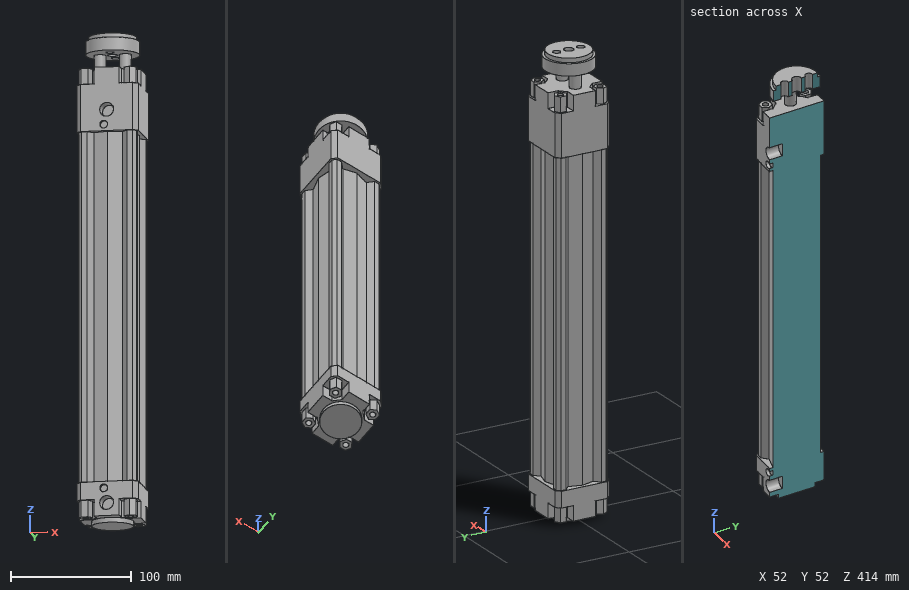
import cadquery as cq
import math


spigot_height = 4.0
cap_height = 29.0
tube_length = 297.0
head_height = 54.0
rod_exposed = 15.0
disc_thickness = 15.0
disc_lip_height = 4.0

cap_bottom = spigot_height
cap_top = cap_bottom + cap_height
head_bottom = cap_top + tube_length
head_top = head_bottom + head_height
disc_bottom = head_top + rod_exposed

block_width = 52.0
block_chamfer = 4.1
spigot_diameter = 35.0

block_corners = 4
recess_depth = 14.0
recess_start = 10.6
recess_wall_end = 16.5
nut_offset = 19.0
nut_sides = 6
nut_across_flats = 10.0
nut_thread_diameter = 5.0
nut_thread_depth = 10.0
drill_point_angle = 118.0

tube_faces = 4
tube_half_width = 24.5
tube_chamfer = 3.0
groove_outer = 17.0
groove_width = 5.0
ridge_height = 22.7

port_diameter = 11.6
port_depth = 12.0
port_from_tube = 18.0
screw_diameter = 6.5
screw_depth = 3.0
screw_from_tube = 5.5
screw_x = -2.5

rod_diameter = 10.0
rod_spacing = 21.5
disc_diameter = 45.0
disc_lip_diameter = 40.0
disc_centre_hole = 8.38
disc_side_hole = 6.65
disc_side_hole_spacing = 23.0


def end_block(bottom, height):
    """Square block with chamfered vertical edges."""
    block = cq.Workplane("XY").workplane(offset=bottom).rect(block_width, block_width).extrude(height)
    return block.edges("|Z").chamfer(block_chamfer)


def corner_recess(bottom):
    """Corner cutter for the -X, -Y corner; it reaches past the outside of the block."""
    outside = block_width
    return (
        cq.Workplane("XY")
        .workplane(offset=bottom)
        .moveTo(-recess_start, -outside)
        .lineTo(-recess_start, -recess_wall_end)
        .lineTo(-recess_wall_end, -recess_start)
        .lineTo(-outside, -recess_start)
        .lineTo(-outside, -outside)
        .close()
        .extrude(recess_depth)
    )


def corner_nut(bottom):
    """Hexagon in the -X, -Y corner with two of its flats facing along Y."""
    across_corners = nut_across_flats / math.cos(math.pi / nut_sides)
    return (
        cq.Workplane("XY")
        .workplane(offset=bottom)
        .center(-nut_offset, -nut_offset)
        .polygon(nut_sides, across_corners)
        .extrude(recess_depth)
    )


def nut_thread(face_z, inward):
    """Drilled hole in the -X, -Y nut, entered at face_z; inward is +1 or -1 along Z."""
    radius = nut_thread_diameter / 2
    point_length = radius / math.tan(math.radians(drill_point_angle / 2))
    return (
        cq.Workplane("XZ")
        .lineTo(radius, 0)
        .lineTo(radius, inward * nut_thread_depth)
        .lineTo(0, inward * (nut_thread_depth + point_length))
        .close()
        .revolve(360, (0, 0, 0), (0, 1, 0))
        .translate((-nut_offset, -nut_offset, face_z))
    )


def with_corner_nuts(block, recess_bottom, face_z, inward):
    """Cut the four corner recesses and stand a drilled nut in each."""
    for corner in range(block_corners):
        turn = ((0, 0, 0), (0, 0, 1), 360 * corner / block_corners)
        block = block.cut(corner_recess(recess_bottom).rotate(*turn))
        block = block.union(corner_nut(recess_bottom).rotate(*turn))
        block = block.cut(nut_thread(face_z, inward).rotate(*turn))
    return block


def front_hole(x, z, diameter, depth):
    """Round cutter running in from the -Y face."""
    return (
        cq.Workplane("XZ", origin=(x, -block_width / 2, z))
        .circle(diameter / 2)
        .extrude(-depth)
    )


def with_ports(block, tube_end, direction):
    """Cut the port and the screw hole; direction points along Z from the tube into the block."""
    port_z = tube_end + direction * port_from_tube
    screw_z = tube_end + direction * screw_from_tube
    block = block.cut(front_hole(0, port_z, port_diameter, port_depth))
    return block.cut(front_hole(screw_x, screw_z, screw_diameter, screw_depth))


def make_tube():
    """Extruded tube: four corner posts, with two grooves and a low ridge on every face."""
    post_edge = tube_half_width - tube_chamfer
    groove_x = groove_outer - groove_width
    groove_y = tube_half_width - groove_width
    face_points = [
        (-post_edge, -tube_half_width),
        (-groove_outer, -tube_half_width),
        (-groove_x, -groove_y),
        (0, -ridge_height),
        (groove_x, -groove_y),
        (groove_outer, -tube_half_width),
        (post_edge, -tube_half_width),
    ]
    outline = []
    for face in range(tube_faces):
        cosine = round(math.cos(2 * math.pi * face / tube_faces))
        sine = round(math.sin(2 * math.pi * face / tube_faces))
        outline += [(x * cosine - y * sine, x * sine + y * cosine) for x, y in face_points]
    return cq.Workplane("XY").workplane(offset=cap_top).polyline(outline).close().extrude(tube_length)


def make_housing():
    """Rear cap with spigot, tube and front head."""
    cap = end_block(cap_bottom, cap_height)
    cap = with_corner_nuts(cap, cap_bottom, cap_bottom, 1)
    cap = with_ports(cap, cap_top, -1)
    spigot = cq.Workplane("XY").circle(spigot_diameter / 2).extrude(spigot_height)

    head = end_block(head_bottom, head_height)
    head = with_corner_nuts(head, head_top - recess_depth, head_top, -1)
    head = with_ports(head, head_bottom, 1)
    return cap.union(spigot).union(make_tube()).union(head)


def make_rod_assembly():
    """Two rods standing on the head and carrying the stepped, drilled disc."""
    rods = (
        cq.Workplane("XY")
        .workplane(offset=head_top)
        .rarray(rod_spacing, 1, 2, 1)
        .circle(rod_diameter / 2)
        .extrude(rod_exposed)
    )
    disc = (
        cq.Workplane("XY")
        .workplane(offset=disc_bottom)
        .circle(disc_diameter / 2)
        .extrude(disc_thickness - disc_lip_height)
        .faces(">Z")
        .workplane()
        .circle(disc_lip_diameter / 2)
        .extrude(disc_lip_height)
    )
    disc = disc.faces(">Z").workplane().hole(disc_centre_hole)
    disc = disc.faces(">Z").workplane().rarray(1, disc_side_hole_spacing, 1, 2).hole(disc_side_hole)
    return rods.union(disc)


housing = make_housing()
rod_assembly = make_rod_assembly()

result = cq.Compound.makeCompound([housing.val(), rod_assembly.val()])